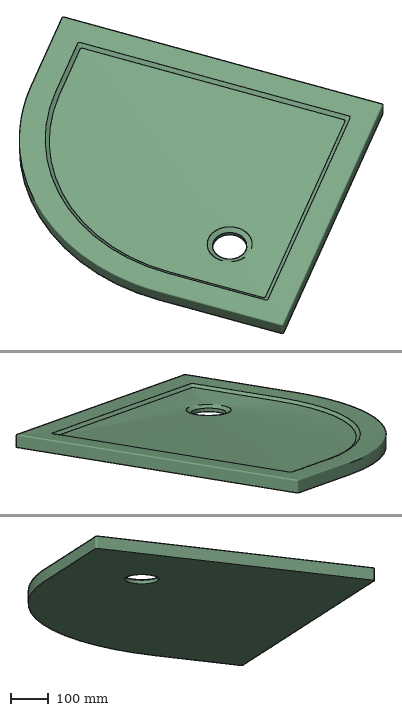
import cadquery as cq
import math

LENGTH = 899.0
WIDTH = 799.0
HEIGHT = 35.0
FRONT_RADIUS = 550.0
CORNER_RADIUS = 5.0
EDGE_FILLET = 4.0

RIM_WIDTH = 68.0
STEP_WIDTH = 11.0
RIM_FALL = 2.0
STEP_FALL = 7.0
FLOOR_FALL = 10.0

DRAIN_X = 669.0
DRAIN_Y = 228.0
FUNNEL_RADIUS = 59.0
HOLE_RADIUS = 45.0
FUNNEL_DEPTH = 6.0

FRONT_CREASE = 270
FRONT_RIGHT_CREASE = 316
BACK_RIGHT_CREASE = 401
BACK_LEFT_CREASE = 504
LEFT_CREASE = 527
CORNER_SPREAD = 2

RIM_INNER_Z = HEIGHT - RIM_FALL
FLOOR_EDGE_Z = RIM_INNER_Z - STEP_FALL
FUNNEL_TOP_Z = FLOOR_EDGE_Z - FLOOR_FALL
FUNNEL_BOTTOM_Z = FUNNEL_TOP_Z - FUNNEL_DEPTH


def arc(center_x, center_y, radius, start, end, z):
    """Counterclockwise arc between two directions given in degrees."""

    def point(angle):
        turn = math.radians(angle)
        return cq.Vector(center_x + radius * math.cos(turn), center_y + radius * math.sin(turn), z)

    return cq.Edge.makeThreePointArc(point(start), point((start + end) / 2), point(end))


def tray_loop(inset, z):
    """Quadrant outline moved inward by inset, as eight edges starting at the front."""
    low = inset
    right = LENGTH - inset
    back = WIDTH - inset
    r = CORNER_RADIUS

    def line(x0, y0, x1, y1):
        return cq.Edge.makeLine(cq.Vector(x0, y0, z), cq.Vector(x1, y1, z))

    return [
        line(FRONT_RADIUS, low, right - r, low),
        arc(right - r, low + r, r, 270, 360, z),
        line(right, low + r, right, back - r),
        arc(right - r, back - r, r, 0, 90, z),
        line(right - r, back, low + r, back),
        arc(low + r, back - r, r, 90, 180, z),
        line(low, back - r, low, FRONT_RADIUS),
        arc(FRONT_RADIUS, FRONT_RADIUS, FRONT_RADIUS - inset, 180, 270, z),
    ]


def drain_loop(radius, z):
    """Drain circle split into eight arcs that match the edges of tray_loop."""
    angles = [FRONT_CREASE]
    for crease in (FRONT_RIGHT_CREASE, BACK_RIGHT_CREASE, BACK_LEFT_CREASE):
        angles += [crease - CORNER_SPREAD / 2, crease + CORNER_SPREAD / 2]
    angles += [LEFT_CREASE, FRONT_CREASE + 360]
    return [arc(DRAIN_X, DRAIN_Y, radius, a, b, z) for a, b in zip(angles, angles[1:])]


def build_tray():
    """Closed skin of ruled bands running up the outside and down into the drain."""
    loops = [
        tray_loop(0, 0),
        tray_loop(0, HEIGHT),
        tray_loop(RIM_WIDTH, RIM_INNER_Z),
        tray_loop(RIM_WIDTH + STEP_WIDTH, FLOOR_EDGE_Z),
        drain_loop(FUNNEL_RADIUS, FUNNEL_TOP_Z),
        drain_loop(HOLE_RADIUS, FUNNEL_BOTTOM_Z),
        drain_loop(HOLE_RADIUS, 0),
    ]
    faces = []
    for lower, upper in zip(loops, loops[1:]):
        faces += [cq.Face.makeRuledSurface(a, b) for a, b in zip(lower, upper)]
    outer = cq.Wire.assembleEdges(loops[0])
    hole = cq.Wire.assembleEdges(loops[-1])
    faces.append(cq.Face.makeFromWires(outer, [hole]))
    return cq.Workplane(cq.Solid.makeSolid(cq.Shell.makeShell(faces)).fix())


def round_top_edge(tray):
    """Fillet the outer top edge."""
    margin = RIM_FALL / 4
    top_edge = cq.selectors.BoxSelector(
        (-margin, -margin, HEIGHT - margin), (LENGTH + margin, WIDTH + margin, HEIGHT + margin)
    )
    return tray.edges(top_edge).fillet(EDGE_FILLET)


result = cq.Workplane(round_top_edge(build_tray()).solids().val())